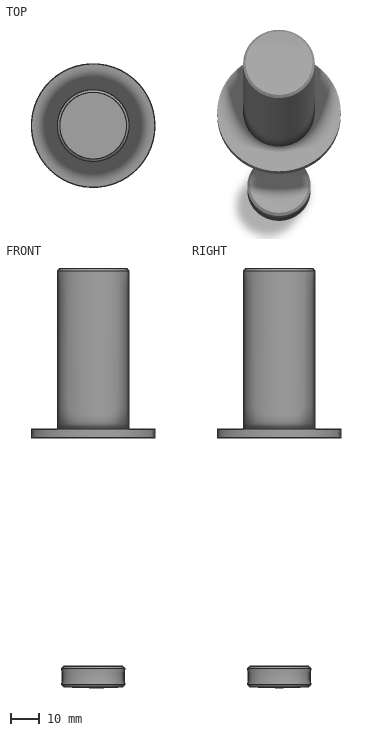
import cadquery as cq
import math

total_height = 146.0
head_diameter = 43.0
head_thickness = 3.0
shank_diameter = 25.0
pin_length = 59.0
tip_chamfer = 0.9

disc_diameter = 22.0
disc_thickness = 7.6
rim_chamfer = 0.9
waist_depth = 0.22
face_flat_diameter = 13.0
face_dish = 0.1
dome_height = 0.3


def make_pin():
    """Flat round head with a shank rising from it to a chamfered tip."""
    head = cq.Workplane("XY").workplane(offset=total_height - pin_length)
    pin = head.circle(head_diameter / 2).extrude(head_thickness)
    pin = pin.faces(">Z").workplane().circle(shank_diameter / 2).extrude(pin_length - head_thickness)
    return pin.faces(">Z").edges().chamfer(tip_chamfer)


def make_disc():
    """Disc with chamfered rims, a slightly waisted side and a shallow top dish and a domed underside."""
    outer_radius = disc_diameter / 2
    face_radius = outer_radius - rim_chamfer
    dome_radius = (face_radius**2 + dome_height**2) / (2 * dome_height)
    dome_midpoint = (face_radius / 2, dome_radius - math.sqrt(dome_radius**2 - (face_radius / 2) ** 2))
    return (
        cq.Workplane("XZ")
        .threePointArc(dome_midpoint, (face_radius, dome_height))
        .lineTo(outer_radius, dome_height + rim_chamfer)
        .threePointArc(
            (outer_radius - waist_depth, (dome_height + disc_thickness) / 2),
            (outer_radius, disc_thickness - rim_chamfer),
        )
        .lineTo(face_radius, disc_thickness)
        .lineTo(face_flat_diameter / 2, disc_thickness - face_dish)
        .lineTo(0, disc_thickness - face_dish)
        .close()
        .revolve(360, (0, 0), (0, 1))
    )


pin = make_pin()
disc = make_disc()

result = cq.Compound.makeCompound([pin.val(), disc.val()])